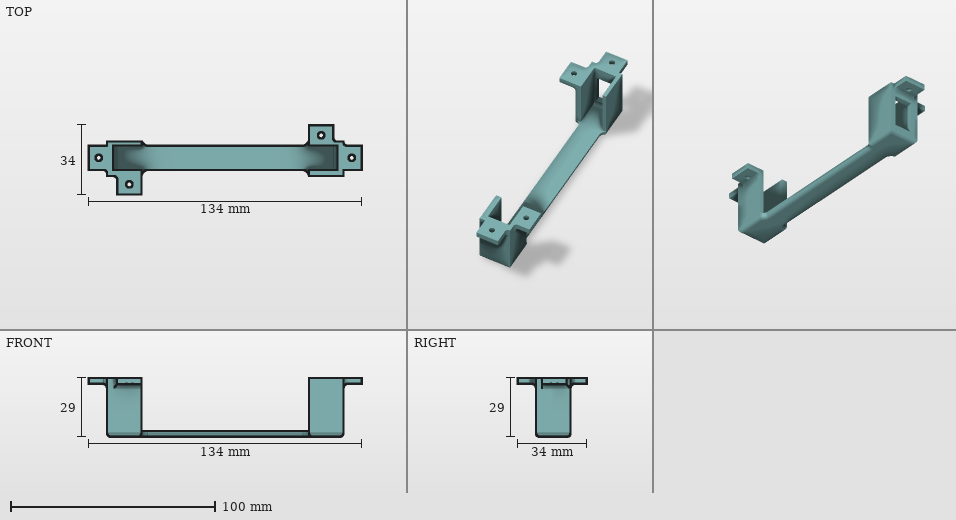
import cadquery as cq

overall_length = 134.0
height = 29.0

tower_length = 17.0
channel_width = 12.0
end_wall = 3.0
front_wall = 3.0
back_wall = 2.0
floor_thickness = 3.0
floor_fillet = 2.0

tab_width = 12.0
tab_thickness = 3.0
end_tab_reach = 9.0
front_tab_reach = 9.0
back_tab_reach = 8.0
tab_hole_diameter = 3.0
hole_to_tab_tip = 5.0
tab_underside_fillet = 2.0
tab_side_fillet = 1.6

window_width = 10.0
window_height = 17.0

bottom_fillet = 2.0
strip_fillet = 3.0

tower_outer_x = overall_length / 2 - end_tab_reach
tower_inner_x = tower_outer_x - tower_length
channel_end_x = tower_outer_x - end_wall
channel_y = channel_width / 2
front_y = -channel_y - front_wall
back_y = channel_y + back_wall
tab_bottom_z = height - tab_thickness
tab_middle_z = height - tab_thickness / 2


def box_between(x_a, x_b, y_a, y_b, z_a, z_b):
    """Box spanning two opposite corners, given in any order."""
    low = (min(x_a, x_b), min(y_a, y_b), min(z_a, z_b))
    size = (abs(x_b - x_a), abs(y_b - y_a), abs(z_b - z_a))
    return cq.Workplane("XY").box(*size, centered=False).translate(low)


def edge_at(x, y, z):
    """Selector for the edge whose middle is nearest to a point."""
    return cq.selectors.NearestToPointSelector((x, y, z))


def make_strip_corner(side, wall_side):
    """Filler with a concave round face, between the strip and a tower wall."""
    wall_y = front_y if wall_side < 0 else back_y
    foot_x = side * (tower_inner_x - strip_fillet)
    filler = box_between(foot_x, side * tower_inner_x, wall_side * channel_y, wall_y, 0, floor_thickness)
    round_y = wall_side * (channel_y + strip_fillet)
    cutter = cq.Workplane("XY").center(foot_x, round_y).circle(strip_fillet).extrude(floor_thickness)
    return filler.cut(cutter)


def make_base():
    """Floor plate with its underside rounded, and solid tower blocks standing on it."""
    base = box_between(-tower_inner_x, tower_inner_x, -channel_y, channel_y, 0, floor_thickness)
    for side in (-1, 1):
        foot = box_between(side * tower_inner_x, side * tower_outer_x, front_y, back_y, 0, floor_thickness)
        base = base.union(foot)
        for wall_side in (-1, 1):
            base = base.union(make_strip_corner(side, wall_side))
    base = base.faces("<Z").edges().fillet(bottom_fillet)
    for side in (-1, 1):
        block = box_between(
            side * tower_inner_x, side * tower_outer_x, front_y, back_y, floor_thickness, height
        )
        base = base.union(block)
    return base


def add_tabs(body, side, tab_side, side_reach):
    """End tab and side tab of one tower; side is the X sign, tab_side the Y sign."""
    outer_x = side * tower_outer_x
    tip_x = side * (tower_outer_x + end_tab_reach)
    end_tab = box_between(side * channel_end_x, tip_x, -tab_width / 2, tab_width / 2, tab_bottom_z, height)

    wall_y = front_y if tab_side < 0 else back_y
    tip_y = wall_y + tab_side * side_reach
    inner_x = side * tower_inner_x
    tab_edge_x = side * (tower_inner_x + tab_width)
    side_tab_x = (inner_x + tab_edge_x) / 2
    side_tab = box_between(inner_x, tab_edge_x, tab_side * channel_y, tip_y, tab_bottom_z, height)

    body = body.union(end_tab).union(side_tab)
    body = body.edges(edge_at(outer_x, 0, tab_bottom_z)).fillet(tab_underside_fillet)
    body = body.edges(edge_at(outer_x, tab_side * tab_width / 2, tab_middle_z)).fillet(tab_side_fillet)
    body = body.edges(edge_at(side_tab_x, wall_y, tab_bottom_z)).fillet(tab_underside_fillet)
    body = body.edges(edge_at(tab_edge_x, wall_y, tab_middle_z)).fillet(tab_side_fillet)

    hole_places = [
        (tip_x - side * hole_to_tab_tip, 0),
        (side_tab_x, tip_y - tab_side * hole_to_tab_tip),
    ]
    holes = cq.Workplane("XY").pushPoints(hole_places).circle(tab_hole_diameter / 2).extrude(height)
    return body.cut(holes)


def make_channel(side):
    """Space inside one tower, rounded where the floor meets the end wall."""
    channel = box_between(
        side * tower_inner_x, side * channel_end_x, -channel_y, channel_y, floor_thickness, height
    )
    return channel.edges(edge_at(side * channel_end_x, 0, floor_thickness)).fillet(floor_fillet)


def make_window():
    """Opening through the left end wall, starting at the top of the floor rounding."""
    sill_z = floor_thickness + floor_fillet
    return box_between(
        -tower_outer_x, -channel_end_x, -window_width / 2, window_width / 2, sill_z, sill_z + window_height
    )


result = make_base()
result = add_tabs(result, -1, -1, front_tab_reach)
result = add_tabs(result, 1, 1, back_tab_reach)
for tower_side in (-1, 1):
    result = result.cut(make_channel(tower_side))
result = result.cut(make_window())